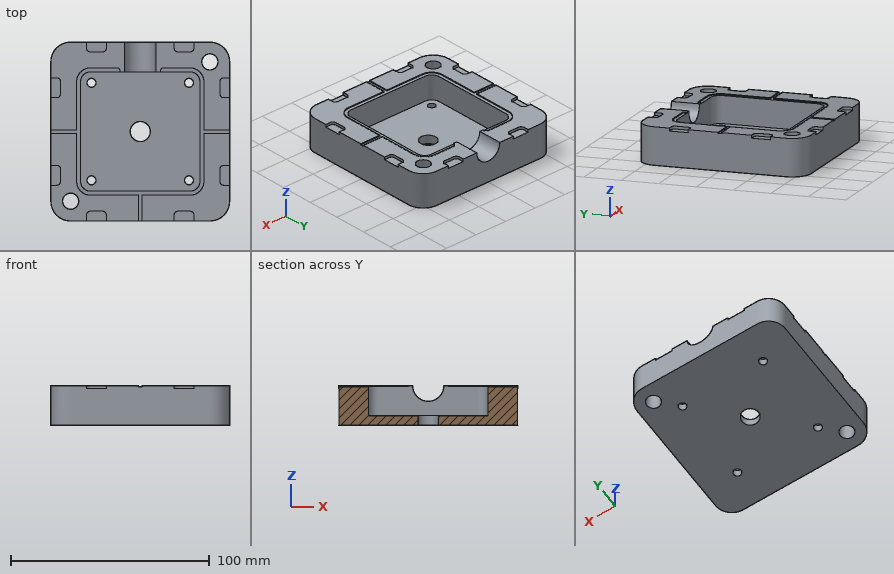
import cadquery as cq

SIDE = 90.0
HEIGHT = 20.0
CORNER_RADIUS = 10.0

POCKET_SIDE = 60.0
POCKET_CORNER_RADIUS = 5.0
FLOOR_THICKNESS = 5.0

LEDGE_WIDTH = 2.0
LEDGE_DEPTH = 0.5
LEDGE_GAP = 20.3
LEDGE_END_RADIUS = 1.5

GROOVE_WIDTH = 1.8

CHANNEL_DIAMETER = 15.6

NOTCH_WIDTH = 10.0
NOTCH_REACH = 5.0
NOTCH_DEPTH = 1.5
NOTCH_CORNER_RADIUS = 2.0
NOTCH_OFFSET = 22.0

CENTER_HOLE_DIAMETER = 10.0
FLOOR_HOLE_DIAMETER = 4.4
FLOOR_HOLE_OFFSET = 24.5
CORNER_HOLE_DIAMETER = 8.0
CORNER_HOLE_OFFSET = 35.0

HALF_SIDE = SIDE / 2
HALF_POCKET = POCKET_SIDE / 2


def rounded_square(side, corner_radius, bottom, height):
    """Upright square prism centred on Z with rounded vertical edges."""
    prism = cq.Workplane("XY").workplane(offset=bottom).rect(side, side).extrude(height)
    return prism.edges("|Z").fillet(corner_radius)


def pocket():
    depth = HEIGHT - FLOOR_THICKNESS
    return rounded_square(POCKET_SIDE, POCKET_CORNER_RADIUS, FLOOR_THICKNESS, depth)


def ledge():
    """Recessed rim of the pocket, with a full-height land left on its +Y run."""
    ledge_floor = HEIGHT - LEDGE_DEPTH
    ledge_side = POCKET_SIDE + 2 * LEDGE_WIDTH
    ledge_radius = POCKET_CORNER_RADIUS + LEDGE_WIDTH
    rim = rounded_square(ledge_side, ledge_radius, ledge_floor, LEDGE_DEPTH)
    land = (
        cq.Workplane("XY")
        .workplane(offset=ledge_floor)
        .center(0, HALF_POCKET + LEDGE_WIDTH / 2)
        .rect(LEDGE_GAP, LEDGE_WIDTH)
        .extrude(LEDGE_DEPTH)
    )
    rim = rim.cut(land)
    end_corner_box = cq.selectors.BoxSelector(
        (-LEDGE_GAP / 2 - LEDGE_WIDTH / 2, HALF_POCKET + LEDGE_WIDTH / 2, 0),
        (LEDGE_GAP / 2 + LEDGE_WIDTH / 2, HALF_POCKET + 2 * LEDGE_WIDTH, 2 * HEIGHT),
    )
    return rim.edges("|Z").edges(end_corner_box).fillet(LEDGE_END_RADIUS)


def groove(angle):
    """Groove from the pocket to the side facing the given angle about Z."""
    length = HALF_SIDE - HALF_POCKET
    return (
        cq.Workplane("XY")
        .workplane(offset=HEIGHT - LEDGE_DEPTH)
        .center(HALF_POCKET + length / 2, 0)
        .rect(length, GROOVE_WIDTH)
        .extrude(LEDGE_DEPTH)
        .rotate((0, 0, 0), (0, 0, 1), angle)
    )


def channel():
    """Cylinder along Y whose axis lies in the top face."""
    return (
        cq.Workplane("XZ", origin=(0, HALF_SIDE, HEIGHT))
        .circle(CHANNEL_DIAMETER / 2)
        .extrude(HALF_SIDE - HALF_POCKET)
    )


def notch_pair(angle):
    """Two notches, rounded at the inner corners, in the side facing the given angle."""
    notches = (
        cq.Workplane("XY")
        .workplane(offset=HEIGHT - NOTCH_DEPTH)
        .pushPoints([(HALF_SIDE - NOTCH_REACH / 2, y) for y in (-NOTCH_OFFSET, NOTCH_OFFSET)])
        .rect(NOTCH_REACH, NOTCH_WIDTH)
        .extrude(NOTCH_DEPTH)
    )
    inner_edges = notches.faces("<X").edges("|Z")
    return inner_edges.fillet(NOTCH_CORNER_RADIUS).rotate((0, 0, 0), (0, 0, 1), angle)


def through_holes(diameter, centers):
    return cq.Workplane("XY").pushPoints(centers).circle(diameter / 2).extrude(HEIGHT)


floor_hole_centers = [
    (x, y)
    for x in (-FLOOR_HOLE_OFFSET, FLOOR_HOLE_OFFSET)
    for y in (-FLOOR_HOLE_OFFSET, FLOOR_HOLE_OFFSET)
]
corner_hole_centers = [(offset, offset) for offset in (-CORNER_HOLE_OFFSET, CORNER_HOLE_OFFSET)]

body = rounded_square(SIDE, CORNER_RADIUS, 0, HEIGHT)
body = body.cut(pocket()).cut(ledge()).cut(channel())
for groove_angle in (0, 180, 270):
    body = body.cut(groove(groove_angle))
for side_angle in (0, 90, 180, 270):
    body = body.cut(notch_pair(side_angle))
body = body.cut(through_holes(CENTER_HOLE_DIAMETER, [(0, 0)]))
body = body.cut(through_holes(FLOOR_HOLE_DIAMETER, floor_hole_centers))
body = body.cut(through_holes(CORNER_HOLE_DIAMETER, corner_hole_centers))

result = body